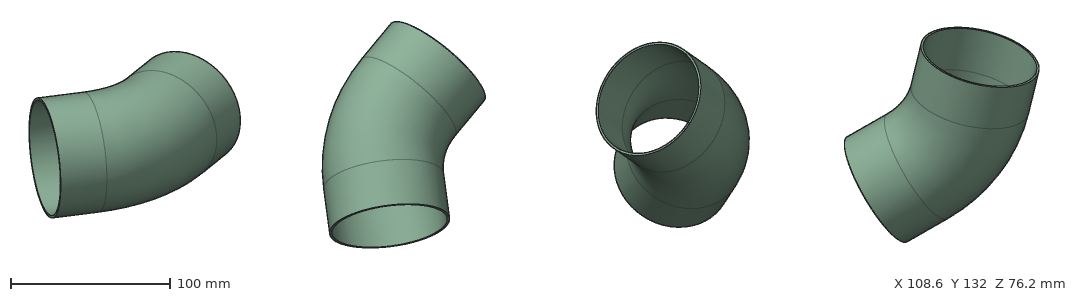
import cadquery as cq
import math

overall_length = 132.0
outer_diameter = 76.2
inner_diameter = 73.2
collar_length = 30.0
bend_angle = 45.0

sine = math.sin(math.radians(bend_angle))
cosine = math.cos(math.radians(bend_angle))

rim_reach = outer_diameter / 2 * sine
tilted_collar_reach = collar_length * cosine
bend_reach = overall_length - collar_length - tilted_collar_reach - rim_reach
bend_radius = bend_reach / sine


def ring(plane):
    """Pipe cross-section drawn on the given plane."""
    return cq.Workplane(plane).circle(outer_diameter / 2).circle(inner_diameter / 2)


start_plane = cq.Plane(origin=(0, 0, 0), xDir=(1, 0, 0), normal=(0, 1, 0))
bend_start = cq.Plane(origin=(0, collar_length, 0), xDir=(1, 0, 0), normal=(0, 1, 0))
bend_end = cq.Plane(
    origin=(-bend_radius * (1 - cosine), collar_length + bend_reach, 0),
    xDir=(cosine, sine, 0),
    normal=(-sine, cosine, 0),
)

straight_collar = ring(start_plane).extrude(collar_length)
bend = ring(bend_start).revolve(bend_angle, (-bend_radius, 1.3, 0), (-bend_radius, 0, 0))
tilted_collar = ring(bend_end).extrude(collar_length)

result = straight_collar.union(bend).union(tilted_collar)